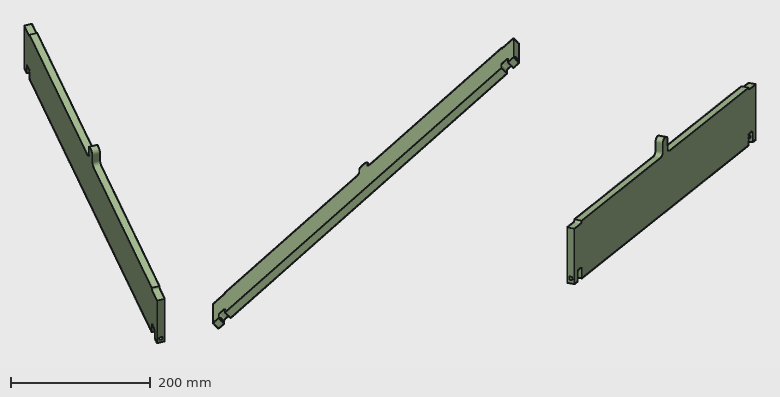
import cadquery as cq

length = 587.5
thickness = 12.0
total_height = 116.0
body_height = 90.0

shoulder_length = 23.5
shoulder_drop = 3.5
shoulder_fillet = 3.0

tab_width = 16.0
tab_fillet = 6.5

leg_width = 11.0
notch_height = 17.5
notch_fillet = 2.5

hole_diameter = 5.4
hole_height = 8.0

half_length = length / 2
shoulder_x = half_length - shoulder_length
shoulder_height = body_height - shoulder_drop
notch_width = shoulder_length - leg_width


def block(width, height, x=0.0, z=0.0):
    """Full-thickness block centred at x, with its underside at z."""
    return cq.Workplane("XY").box(width, thickness, height, centered=(True, True, False)).translate((x, 0, z))


def make_plate():
    """Plate with the tab and end shoulders, inner corners rounded."""
    plate = block(length, shoulder_height)
    plate = plate.union(block(2 * shoulder_x, body_height))
    tab = block(tab_width, total_height).edges("|Y and >Z").fillet(tab_fillet)
    plate = plate.union(tab)
    for side in (-1, 1):
        plate = plate.union(root_fillet(side, tab_width / 2, body_height, tab_fillet))
        plate = plate.union(root_fillet(side, shoulder_x, shoulder_height, shoulder_fillet))
    return plate


def root_fillet(side, wall_x, floor_z, radius):
    """Concave web between a wall at wall_x and the floor outside it."""
    web = block(radius, radius, side * (wall_x + radius / 2), floor_z)
    cutter = (
        cq.Workplane("XZ", origin=(0, thickness / 2, 0))
        .center(side * (wall_x + radius), floor_z + radius)
        .circle(radius)
        .extrude(thickness)
    )
    return web.cut(cutter)


def make_notch(side):
    """Notch cutter with rounded upper corners."""
    notch_x = side * (shoulder_x + notch_width / 2)
    return block(notch_width, notch_height, notch_x).edges("|Y and >Z").fillet(notch_fillet)


def make_leg_hole(side):
    """Hole cutter running along X from the end face to the notch."""
    return (
        cq.Workplane("YZ", origin=(side * half_length, 0, hole_height))
        .circle(hole_diameter / 2)
        .extrude(-side * leg_width)
    )


result = make_plate()
for end in (-1, 1):
    result = result.cut(make_notch(end))
    result = result.cut(make_leg_hole(end))